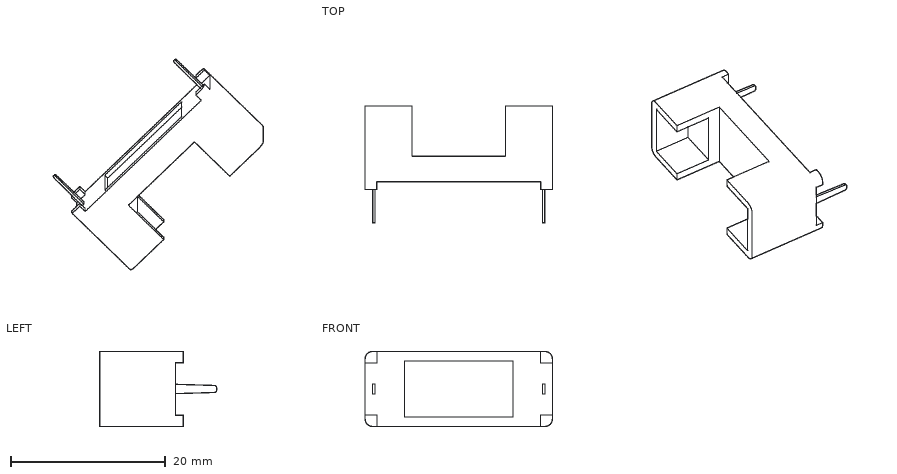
import cadquery as cq

length = 24.2
height = 9.7
total_depth = 15.1
edge_radius = 1.0

foot_length = 1.55
foot_height = 1.48
foot_depth = 1.0

pin_reach = 5.3
pin_thickness = 0.31
pin_inset = 1.0
pin_root_width = 1.23
pin_tip_width = 0.92
pin_tip_radius = 0.35

body_depth = total_depth - pin_reach

notch_length = 12.0
notch_depth = 6.45
pocket_depth = 4.85
wall = 1.11
arm_length = (length - notch_length) / 2

window_length = 13.96
window_height = 7.25
window_depth = 0.53


def box(size_x, size_y, size_z, x=0, y=0, z=0):
    """Box centred on x and z that starts at y and runs toward +Y."""
    return (
        cq.Workplane("XY")
        .box(size_x, size_y, size_z, centered=(True, False, True))
        .translate((x, y, z))
    )


def make_block():
    """Long-edge-rounded block reaching from the foot ends to the arm ends."""
    block = box(length, body_depth + foot_depth, height, y=-foot_depth)
    return block.edges("|Y").fillet(edge_radius)


def trim_feet(block):
    """Clear a cross-shaped area so that only the four corner feet remain."""
    between_x = box(length - 2 * foot_length, foot_depth, height, y=-foot_depth)
    between_z = box(length, foot_depth, height - 2 * foot_height, y=-foot_depth)
    return block.cut(between_x).cut(between_z)


def make_arm_pocket(side):
    """Pocket open to the notch and to the arm end; side is -1 or 1."""
    pocket_length = arm_length - wall
    pocket_center = side * (notch_length + pocket_length) / 2
    return box(
        pocket_length,
        pocket_depth,
        height - 2 * wall,
        x=pocket_center,
        y=body_depth - pocket_depth,
    )


def make_pin(side):
    """Flat pin that narrows toward a rounded tip; side is -1 or 1."""
    root = pin_root_width / 2
    tip = pin_tip_width / 2
    pin_center = side * (length / 2 - pin_inset - pin_thickness / 2)
    return (
        cq.Workplane("YZ")
        .polyline([(0, -root), (0, root), (-pin_reach, tip), (-pin_reach, -tip)])
        .close()
        .extrude(pin_thickness / 2, both=True)
        .edges("|X and <Y")
        .fillet(pin_tip_radius)
        .translate((pin_center, 0, 0))
    )


notch = box(notch_length, notch_depth, height, y=body_depth - notch_depth)
window = box(window_length, window_depth, window_height)

result = trim_feet(make_block()).cut(notch).cut(window)
for side in (-1, 1):
    result = result.cut(make_arm_pocket(side)).union(make_pin(side))